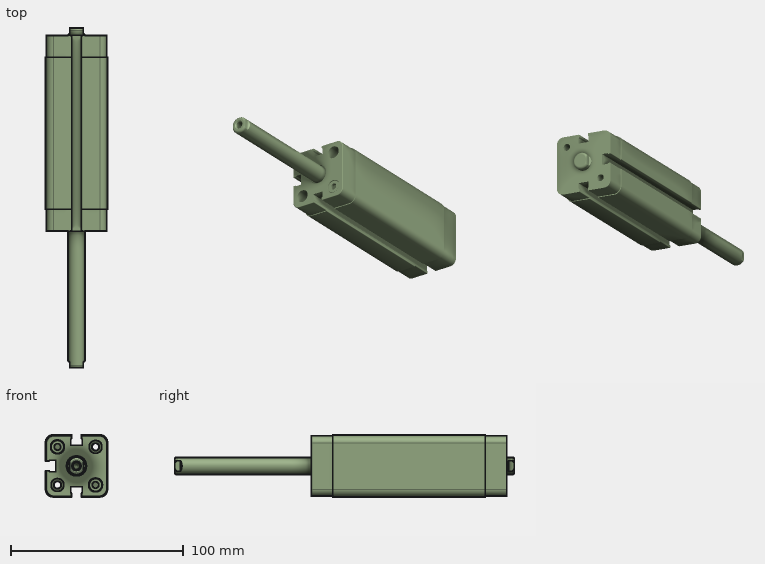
import cadquery as cq

TOTAL_LENGTH = 197.0
REAR_STUB_LENGTH = 4.3
CAP_LENGTH = 12.6
BARREL_LENGTH = 88.3
ROD_LENGTH = TOTAL_LENGTH - REAR_STUB_LENGTH - 2 * CAP_LENGTH - BARREL_LENGTH

BARREL_SIZE = 36.0
CAP_SIZE = 35.0
CORNER_CENTER = 13.4
FRONT_ROUNDING = 0.3

SLOT_MOUTH_WIDTH = 5.5
SLOT_FLOOR_WIDTH = 6.5
SLOT_DEPTH = 6.0
LIP_DEPTH = 2.0
LIP_TAPER_DEPTH = 0.5
MOUTH_ROUNDING = 0.4
SLOT_ANGLES = (0, 90, 180)

HOLE_OFFSET = 11.0
THROUGH_DIAMETER = 4.1
MOUNT_BORE_DIAMETER = 7.5
MOUNT_BORE_DEPTH = 9.8
SCREW_BORE_DIAMETER = 8.0
SCREW_HEAD_DIAMETER = 7.5
SCREW_BORE_DEPTH = 4.0
SCREW_HEAD_SINK = 0.2
SOCKET_DIAMETER = 3.7
SOCKET_DEPTH = 2.0

ROD_DIAMETER = 10.0
ROD_RECESS_DIAMETER = 11.6
ROD_RECESS_DEPTH = 1.0
ROD_ROUNDING = 1.4
FLAT_WIDTH = 8.0
FLAT_LENGTH = 3.3
FLAT_RUNOUT = (ROD_DIAMETER - FLAT_WIDTH) / 2
ROD_HOLE_DIAMETER = 4.1
COUNTERSINK_DIAMETER = 5.3
ROD_HOLE_DEPTH = 11.8

rod_tip = -TOTAL_LENGTH / 2
front_face = rod_tip + ROD_LENGTH
barrel_start = front_face + CAP_LENGTH
barrel_end = barrel_start + BARREL_LENGTH
rear_face = barrel_end + CAP_LENGTH
rear_tip = TOTAL_LENGTH / 2


def section_at(y):
    """Sketch plane across the axis at y: local x is X, local y is Z, normal is -Y."""
    return cq.Workplane("XZ", origin=(0, y, 0))


def cylinder(diameter, start, end, x=0, z=0):
    return section_at(start).center(x, z).circle(diameter / 2).extrude(start - end)


def square_bar(size, start, end):
    bar = section_at(start).rect(size, size).extrude(start - end)
    return bar.edges("|Y").fillet(size / 2 - CORNER_CENTER)


def sensor_slot(size, start, end):
    """Slot cutter for the +Z side of a bar, rounded at the mouth and wider below its lips."""
    surface = size / 2
    mouth = SLOT_MOUTH_WIDTH / 2
    floor = SLOT_FLOOR_WIDTH / 2
    lip = BARREL_SIZE / 2 - LIP_DEPTH
    bottom = BARREL_SIZE / 2 - SLOT_DEPTH
    half_outline = (
        section_at(start)
        .moveTo(0, surface)
        .lineTo(mouth + MOUTH_ROUNDING, surface)
        .radiusArc((mouth, surface - MOUTH_ROUNDING), -MOUTH_ROUNDING)
        .lineTo(mouth, lip)
        .lineTo(floor, lip - LIP_TAPER_DEPTH)
        .lineTo(floor, bottom)
        .lineTo(0, bottom)
    )
    return half_outline.mirrorY().extrude(start - end)


def slotted_bar(size, start, end, front_rounding=0):
    bar = square_bar(size, start, end)
    if front_rounding:
        bar = bar.faces("<Y").edges().fillet(front_rounding)
    slot = sensor_slot(size, start, end)
    for angle in SLOT_ANGLES:
        bar = bar.cut(slot.rotate((0, 0, 0), (0, 1, 0), -angle))
    return bar


def mounting_hole(x, z):
    """Through hole with a deep counterbore from the front face."""
    bore = cylinder(MOUNT_BORE_DIAMETER, front_face, front_face + MOUNT_BORE_DEPTH, x, z)
    return bore.union(cylinder(THROUGH_DIAMETER, front_face, rear_face, x, z))


def screw_recess(x, z):
    """Shallow bore holding a socket screw head."""
    bore_end = front_face + SCREW_BORE_DEPTH
    head_face = front_face + SCREW_HEAD_SINK
    head = cylinder(SCREW_HEAD_DIAMETER, head_face, bore_end, x, z)
    head = head.cut(cylinder(SOCKET_DIAMETER, head_face, head_face + SOCKET_DEPTH, x, z))
    return cylinder(SCREW_BORE_DIAMETER, front_face, bore_end, x, z).cut(head)


def rod_hole():
    """Countersunk blind hole with a 90 degree conical bottom."""
    radius = ROD_HOLE_DIAMETER / 2
    mouth_radius = COUNTERSINK_DIAMETER / 2
    bottom = rod_tip + ROD_HOLE_DEPTH
    outline = [
        (0, rod_tip), (mouth_radius, rod_tip), (radius, rod_tip + mouth_radius - radius),
        (radius, bottom - radius), (0, bottom),
    ]
    return cq.Workplane("XY").polyline(outline).close().revolve(360, (0, 0), (0, 1))


def wrench_flats(tip, inward):
    """Cutters for the two X-side flats of a rod end, with a 45 degree run-out."""
    flat = FLAT_WIDTH / 2
    outer = flat + FLAT_RUNOUT
    shoulder = tip + inward * FLAT_LENGTH
    runout_end = shoulder + inward * FLAT_RUNOUT
    outline = [(flat, tip), (flat, shoulder), (outer, runout_end), (outer, tip)]
    right = cq.Workplane("XY").polyline(outline).close().extrude(ROD_DIAMETER / 2, both=True)
    return right.union(right.mirror("YZ"))


body = slotted_bar(BARREL_SIZE, barrel_start, barrel_end)
body = body.union(slotted_bar(CAP_SIZE, front_face, barrel_start, FRONT_ROUNDING))
body = body.union(slotted_bar(CAP_SIZE, barrel_end, rear_face))

for side in (-1, 1):
    offset = side * HOLE_OFFSET
    body = body.cut(mounting_hole(offset, offset))
    body = body.cut(screw_recess(offset, -offset))

body = body.cut(cylinder(ROD_RECESS_DIAMETER, front_face, front_face + ROD_RECESS_DEPTH))

rod = cylinder(ROD_DIAMETER, rod_tip, rear_tip).faces("<Y or >Y").edges().fillet(ROD_ROUNDING)
rod = rod.cut(wrench_flats(rod_tip, 1)).cut(wrench_flats(rear_tip, -1))
rod = rod.cut(rod_hole())

result = body.union(rod)